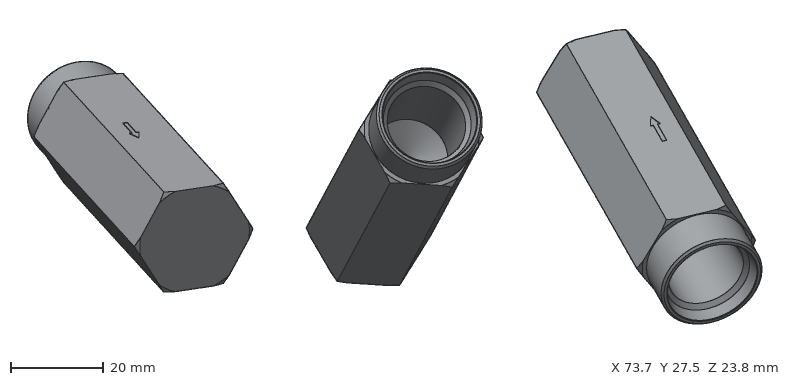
import cadquery as cq
import math

hex_sides = 6
total_length = 73.66
across_flats = 23.825
hex_start = 9.6
hex_length = total_length - hex_start
across_corners = across_flats / math.cos(math.pi / hex_sides)
end_chamfer_angle = 30
end_face_diameter = 25.4

overlap = 1.0

spigot_diameter = 23.37
spigot_chamfer = 0.5

mouth_diameter = 21.1
mouth_chamfer = 0.15
seat_front_diameter = mouth_diameter - 2 * mouth_chamfer
seat_back_diameter = 19.4
seat_end = 2.9
bore_diameter = 17.32
bore_start = seat_end + (seat_back_diameter - bore_diameter) / 2
bore_end = 25.0
drill_point_angle = 118

arrow_tail_x = 35.2
arrow_length = 8.6
arrow_head_length = 2.9
arrow_center_y = -1.9
arrow_shaft_width = 1.0
arrow_head_width = 2.2
arrow_depth = 0.1


def revolve_about_x(profile):
    """Turn a closed (x, radius) profile around the X axis."""
    return cq.Workplane("XY").polyline(profile).close().revolve(360, (0, 0, 0), (1, 0, 0))


def make_hex_body():
    """Hexagonal bar whose corners are turned down to a cone at both ends."""
    bar = (
        cq.Workplane("YZ")
        .workplane(offset=hex_start)
        .polygon(hex_sides, across_corners)
        .extrude(hex_length)
    )
    end_radius = end_face_diameter / 2
    clear_radius = across_corners / 2 + overlap
    cone_length = (clear_radius - end_radius) * math.tan(math.radians(end_chamfer_angle))
    envelope = revolve_about_x([
        (hex_start, 0),
        (hex_start, end_radius),
        (hex_start + cone_length, clear_radius),
        (total_length - cone_length, clear_radius),
        (total_length, end_radius),
        (total_length, 0),
    ])
    return bar.intersect(envelope)


def make_spigot():
    """Cylinder joined to the hexagon, chamfered at its free end."""
    radius = spigot_diameter / 2
    return revolve_about_x([
        (0, 0),
        (0, radius - spigot_chamfer),
        (spigot_chamfer, radius),
        (hex_start + overlap, radius),
        (hex_start + overlap, 0),
    ])


def make_bore():
    """Chamfered mouth, tapered seat, 45 degree step, main bore and drill point."""
    bore_radius = bore_diameter / 2
    point_length = bore_radius / math.tan(math.radians(drill_point_angle / 2))
    return revolve_about_x([
        (0, 0),
        (0, mouth_diameter / 2),
        (mouth_chamfer, seat_front_diameter / 2),
        (seat_end, seat_back_diameter / 2),
        (bore_start, bore_radius),
        (bore_end, bore_radius),
        (bore_end + point_length, 0),
    ])


def make_arrow():
    """Flow arrow pointing along +X, sunk into the top flat."""
    tip_x = arrow_tail_x + arrow_length
    head_x = tip_x - arrow_head_length
    shaft_half = arrow_shaft_width / 2
    head_half = arrow_head_width / 2
    return (
        cq.Workplane("XY")
        .workplane(offset=across_flats / 2 - arrow_depth)
        .center(0, arrow_center_y)
        .polyline([
            (arrow_tail_x, -shaft_half),
            (head_x, -shaft_half),
            (head_x, -head_half),
            (tip_x, 0),
            (head_x, head_half),
            (head_x, shaft_half),
            (arrow_tail_x, shaft_half),
        ])
        .close()
        .extrude(2 * arrow_depth)
    )


result = make_hex_body().union(make_spigot()).cut(make_bore()).cut(make_arrow())